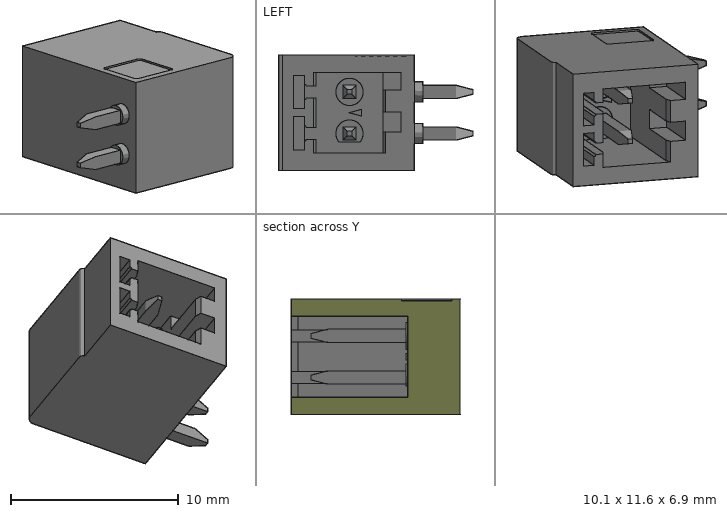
import cadquery as cq


length = 10.1
depth = 8.1
height = 6.9
step_x = 3.21
step_height = 0.23
corner_radius = 0.51

pitch = 2.48
pole_heights = [height / 2 - pitch / 2, height / 2 + pitch / 2]
pin_width = 0.8
tip_width = 0.28
taper_length = 1.0
solder_pin_x = 8.9
solder_pin_end = -3.5
contact_y = 3.86
contact_start_x = 1.2
collar_diameter = 1.22
collar_length = 0.51

cavity_depth = 6.96
cavity_y_min = 1.88
cavity_y_max = 5.85
cavity_z_min = 1.04
cavity_z_max = 5.86
lead_in_length = 0.41
lead_in_width = 0.15

keyway_pitch = 2.47
keyway_heights = [height / 2 - keyway_pitch / 2, height / 2 + keyway_pitch / 2]
keyway_neck_width = 0.7
keyway_bar_y_min = 6.55
keyway_bar_y_max = 7.22
keyway_bar_width = 2.0
keyway_bar_depth = 5.8
keyway_edge_radius = 0.12

notch_y_min = 0.79
notch_depth = 3.48
notch_z_ranges = [(2.31, 3.48), (4.81, cavity_z_max)]

relief_height = 0.1
boss_diameter = 1.62
boss_flat_z = 1.7
mark_base_y = 3.13
mark_tip_y = 3.89
mark_base_width = 0.41

panel_x_min = 6.59
panel_y_min = 0.5
panel_size = 3.0
panel_radius = 0.2
panel_depth = 0.1


def box(x_min, x_max, y_min, y_max, z_min, z_max):
    """Axis-aligned block between the given limits."""
    size = (x_max - x_min, y_max - y_min, z_max - z_min)
    return cq.Workplane("XY").box(*size, centered=False).translate((x_min, y_min, z_min))


def make_housing():
    """Block with a rounded step on the +Y side and a rounded rear corner."""
    return (
        cq.Workplane("XY")
        .lineTo(length, 0)
        .lineTo(length, depth - corner_radius)
        .radiusArc((length - corner_radius, depth), -corner_radius)
        .lineTo(step_x + step_height, depth)
        .radiusArc((step_x, depth - step_height), -step_height)
        .lineTo(0, depth - step_height)
        .close()
        .extrude(height)
    )


def make_cavity():
    """Rectangular cavity whose two side walls flare outwards at the mouth."""
    return (
        cq.Workplane("XY", origin=(0, 0, cavity_z_min))
        .moveTo(0, cavity_y_min - lead_in_width)
        .lineTo(lead_in_length, cavity_y_min)
        .lineTo(cavity_depth, cavity_y_min)
        .lineTo(cavity_depth, cavity_y_max)
        .lineTo(lead_in_length, cavity_y_max)
        .lineTo(0, cavity_y_max + lead_in_width)
        .close()
        .extrude(cavity_z_max - cavity_z_min)
    )


def make_keyway(z):
    """T-shaped channel: a full-depth neck opening into a wider, shallower bar, with eased inner edges."""
    half_neck = keyway_neck_width / 2
    half_bar = keyway_bar_width / 2
    radius = keyway_edge_radius
    neck = (
        cq.Workplane("YZ", origin=(0, 0, z))
        .moveTo(cavity_y_max, -half_neck)
        .lineTo(keyway_bar_y_min - radius, -half_neck)
        .radiusArc((keyway_bar_y_min, -half_neck - radius), -radius)
        .lineTo(keyway_bar_y_min, half_neck + radius)
        .radiusArc((keyway_bar_y_min - radius, half_neck), -radius)
        .lineTo(cavity_y_max, half_neck)
        .close()
        .extrude(cavity_depth)
    )
    bar = box(0, keyway_bar_depth, keyway_bar_y_min, keyway_bar_y_max, z - half_bar, z + half_bar)
    return neck.union(bar)


def make_notch(z_min, z_max):
    """Rectangular coding notch beside the cavity."""
    return box(0, notch_depth, notch_y_min, cavity_y_min, z_min, z_max)


def make_label_panel():
    """Shallow rounded square sunk into the top face."""
    panel = box(
        panel_x_min, panel_x_min + panel_size,
        panel_y_min, panel_y_min + panel_size,
        height - panel_depth, height,
    )
    return panel.edges("|Z").fillet(panel_radius)


def floor_plane():
    """Plane on the cavity floor, facing the mouth; local x runs along -Y and local y along Z."""
    return cq.Plane(origin=(cavity_depth, 0, 0), xDir=(0, -1, 0), normal=(-1, 0, 0))


def make_boss(z):
    """Low round boss around a contact pin; the lower boss is cut flat at boss_flat_z."""
    boss = (
        cq.Workplane(floor_plane())
        .center(-contact_y, z)
        .circle(boss_diameter / 2)
        .extrude(relief_height)
    )
    below_flat = box(0, length, 0, depth, 0, boss_flat_z)
    return boss.cut(below_flat)


def make_pole_mark():
    """Low triangle between the two contacts, pointing towards +Y."""
    mid_z = height / 2
    corners = [
        (-mark_tip_y, mid_z),
        (-mark_base_y, mid_z - mark_base_width / 2),
        (-mark_base_y, mid_z + mark_base_width / 2),
    ]
    return cq.Workplane(floor_plane()).polyline(corners).close().extrude(relief_height)


def make_tapered_pin(plane, pin_length):
    """Square pin starting with its narrow tip at the plane and running along the plane normal."""
    tip = (
        cq.Workplane(plane)
        .rect(tip_width, tip_width)
        .workplane(offset=taper_length)
        .rect(pin_width, pin_width)
        .loft(ruled=True)
    )
    shank = (
        cq.Workplane(plane)
        .workplane(offset=taper_length)
        .rect(pin_width, pin_width)
        .extrude(pin_length - taper_length)
    )
    return tip.union(shank)


def make_contact_pin(z):
    """Contact inside the cavity, ending in the solid rear of the housing at the solder pin."""
    plane = cq.Plane(origin=(contact_start_x, contact_y, z), xDir=(0, 1, 0), normal=(1, 0, 0))
    return make_tapered_pin(plane, solder_pin_x - contact_start_x)


def make_solder_pin(z):
    """Pin leaving the housing towards -Y through a round collar."""
    plane = cq.Plane(origin=(solder_pin_x, solder_pin_end, z), xDir=(1, 0, 0), normal=(0, 1, 0))
    pin = make_tapered_pin(plane, contact_y - solder_pin_end)
    collar = (
        cq.Workplane("XZ", origin=(solder_pin_x, 0, z))
        .circle(collar_diameter / 2)
        .extrude(collar_length)
    )
    return pin.union(collar)


result = make_housing().cut(make_cavity())
for keyway_z in keyway_heights:
    result = result.cut(make_keyway(keyway_z))
for notch_z_min, notch_z_max in notch_z_ranges:
    result = result.cut(make_notch(notch_z_min, notch_z_max))
result = result.cut(make_label_panel())
result = result.union(make_pole_mark())
for pole_z in pole_heights:
    result = result.union(make_boss(pole_z))
    result = result.union(make_contact_pin(pole_z))
    result = result.union(make_solder_pin(pole_z))